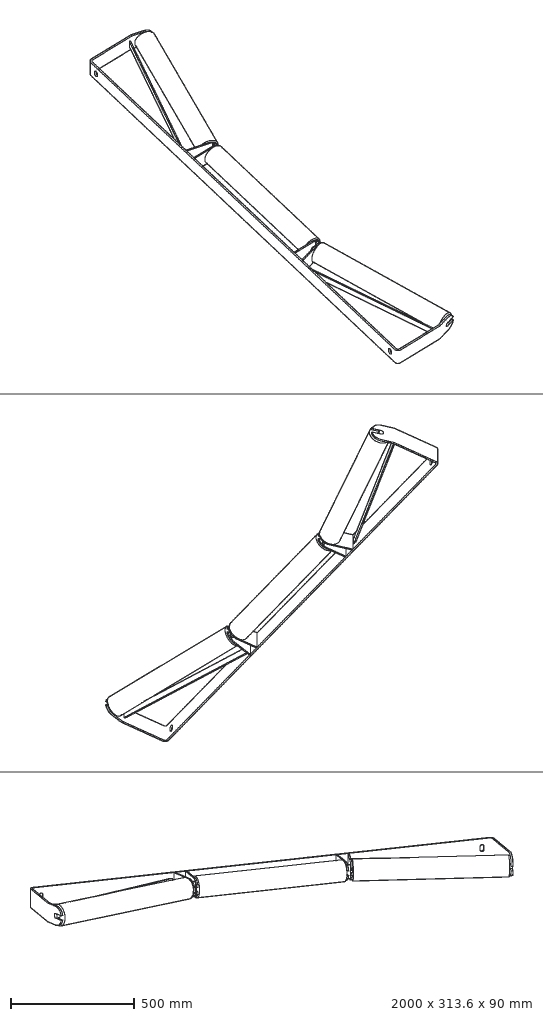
import cadquery as cq
import math

TILT = 15.0
FRAME_LENGTH = 2000.0
BAR_WIDTH = 80.0
FRAME_THICK = 8.0
FRAME_BEND_RADIUS = 15.0
ARM_BEND_Y = 220.0

ROLLER_LENGTH = 635.0
ROLLER_RADIUS = 45.0
SHAFT_DIAMETER = 20.0
MIDDLE_AXIS_Y = 102.0
WING_CENTRE_X = 665.0
WING_CENTRE_Y = 188.0

HANGER_THICK = 5.0
HANGER_GAP = 5.0
BRIDGE_RISE = 15.0
BRIDGE_THICK = 8.0
BRIDGE_WIDTH = 60.0
BRIDGE_STOCK = 25.0

BRACE_THICK = 5.0
BRACE_WIDTH = 32.0
BRACE_TOP_Y = 212.0
BRACE_FOOT_X = 385.0

MOUNT_SLOT_X = 952.0
MOUNT_SLOT_WIDTH = 18.0
MOUNT_SLOT_LENGTH = 28.0

HALF_LENGTH = FRAME_LENGTH / 2
HALF_ROLLER = ROLLER_LENGTH / 2
SHAFT_RADIUS = SHAFT_DIAMETER / 2
COS_TILT = math.cos(math.radians(TILT))
SIN_TILT = math.sin(math.radians(TILT))

HANGER_REACH = HALF_ROLLER + HANGER_GAP + HANGER_THICK
ARM_REACH = (HALF_LENGTH - WING_CENTRE_X) * COS_TILT + (ARM_BEND_Y - WING_CENTRE_Y) * SIN_TILT
ARM_TIP_DROP = (HALF_LENGTH - WING_CENTRE_X) * SIN_TILT - (ARM_BEND_Y - WING_CENTRE_Y) * COS_TILT
LEG_DROP = MIDDLE_AXIS_Y / COS_TILT


def at_middle(body):
    """Move a body built about its roller's centre to the middle roller."""
    return body.translate((0, MIDDLE_AXIS_Y, 0))


def at_left_wing(body):
    """Move a body built about its roller's centre to the tilted left roller."""
    turned = body.rotate((0, 0, 0), (0, 0, 1), -TILT)
    return turned.translate((-WING_CENTRE_X, WING_CENTRE_Y, 0))


def both_sides(left_body):
    """A left-hand body and its mirror image on the right."""
    return [left_body, left_body.mirror("YZ")]


def slotted_bar(start_x, thickness, drop):
    """Bar across the roller axis, with a round tip and a shaft slot open at the tip."""
    half_width = BAR_WIDTH / 2
    bar = (
        cq.Workplane("YZ", origin=(start_x, 0, 0))
        .moveTo(-drop, -half_width)
        .lineTo(0, -half_width)
        .threePointArc((half_width, 0), (0, half_width))
        .lineTo(-drop, half_width)
        .close()
        .extrude(thickness)
    )
    shaft_slot = (
        cq.Workplane("YZ", origin=(start_x, 0, 0))
        .moveTo(half_width, -SHAFT_RADIUS)
        .lineTo(0, -SHAFT_RADIUS)
        .threePointArc((-SHAFT_RADIUS, 0), (0, SHAFT_RADIUS))
        .lineTo(half_width, SHAFT_RADIUS)
        .close()
        .extrude(thickness)
    )
    return bar.cut(shaft_slot)


def u_block(inset):
    """Solid block of the frame's side shape, inset from the outer faces."""
    width = FRAME_LENGTH - 2 * inset
    height = ARM_BEND_Y - inset
    return (
        cq.Workplane("XY")
        .box(width, height, BAR_WIDTH)
        .translate((0, inset + height / 2, 0))
        .edges("|Z and <Y")
        .fillet(FRAME_BEND_RADIUS - inset)
    )


def make_frame():
    frame = u_block(0).cut(u_block(FRAME_THICK))
    arm_tip = at_left_wing(slotted_bar(-ARM_REACH, FRAME_THICK, ARM_TIP_DROP))
    for tip in both_sides(arm_tip):
        frame = frame.union(tip)
    bend_zone = cq.selectors.BoxSelector(
        (-FRAME_LENGTH, ARM_BEND_Y - FRAME_THICK, -BAR_WIDTH),
        (FRAME_LENGTH, ARM_BEND_Y + FRAME_THICK, BAR_WIDTH),
    )
    frame = frame.edges("|Z").edges(bend_zone).fillet(FRAME_BEND_RADIUS)
    mount_slots = (
        cq.Workplane("XZ")
        .pushPoints([(-MOUNT_SLOT_X, 0), (MOUNT_SLOT_X, 0)])
        .slot2D(MOUNT_SLOT_LENGTH, MOUNT_SLOT_WIDTH, 90)
        .extrude(-FRAME_THICK)
    )
    return frame.cut(mount_slots)


def make_roller(left_reach, right_reach):
    shell = (
        cq.Workplane("YZ", origin=(-HALF_ROLLER, 0, 0))
        .circle(ROLLER_RADIUS)
        .extrude(ROLLER_LENGTH)
    )
    shaft = (
        cq.Workplane("YZ", origin=(-left_reach, 0, 0))
        .circle(SHAFT_RADIUS)
        .extrude(left_reach + right_reach)
    )
    return shell.union(shaft)


def make_left_hanger():
    wing_leg = at_left_wing(slotted_bar(HANGER_REACH - HANGER_THICK, HANGER_THICK, LEG_DROP))
    middle_leg = at_middle(slotted_bar(-HANGER_REACH, HANGER_THICK, LEG_DROP))
    bridge = at_left_wing(
        cq.Workplane("XY")
        .box(BRIDGE_STOCK, BRIDGE_THICK, BRIDGE_WIDTH, centered=(False, False, True))
        .translate((HANGER_REACH, BRIDGE_RISE, 0))
    )
    beyond_leg_face = (
        cq.Workplane("XY")
        .box(HANGER_REACH, ARM_BEND_Y, BAR_WIDTH, centered=(False, False, True))
        .translate((-HANGER_REACH, 0, 0))
    )
    below_base_top = (
        cq.Workplane("XY")
        .box(FRAME_LENGTH, ARM_BEND_Y, BAR_WIDTH)
        .translate((0, FRAME_THICK - ARM_BEND_Y / 2, 0))
    )
    return wing_leg.union(bridge.cut(beyond_leg_face)).union(middle_leg).cut(below_base_top)


def make_left_brace():
    arm_face_x = -(HALF_LENGTH - FRAME_THICK)
    slope = (BRACE_TOP_Y - FRAME_THICK) / (HALF_LENGTH - FRAME_THICK - BRACE_FOOT_X)
    drop = BRACE_THICK * math.hypot(1, slope)
    return (
        cq.Workplane("XY")
        .moveTo(arm_face_x, BRACE_TOP_Y)
        .lineTo(-BRACE_FOOT_X, FRAME_THICK)
        .lineTo(-BRACE_FOOT_X - drop / slope, FRAME_THICK)
        .lineTo(arm_face_x, BRACE_TOP_Y - drop)
        .close()
        .extrude(BRACE_WIDTH / 2, both=True)
    )


frame = make_frame()
middle_roller = at_middle(make_roller(HANGER_REACH, HANGER_REACH))
left_roller = at_left_wing(make_roller(ARM_REACH, HANGER_REACH))
left_hanger = make_left_hanger()
left_brace = make_left_brace()

bodies = [frame.solids().val(), middle_roller.solids().val()]
for left_body in (left_roller, left_hanger, left_brace):
    for body in both_sides(left_body):
        bodies.append(body.solids().val())

result = cq.Compound.makeCompound(bodies)